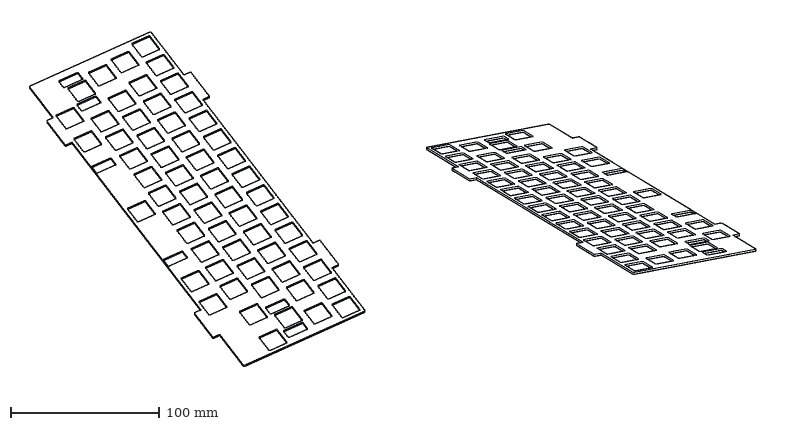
import cadquery as cq

plate_length = 285.8
column_count = 15
row_count = 5
pitch = plate_length / column_count
quarter = pitch / 4
body_depth = row_count * pitch
overall_depth = 105.7
thickness = 1.5
plate_corner_radius = 1.0
small_corner_radius = 0.5

tab_length = 25.1
tab_reach = (overall_depth - body_depth) / 2
back_tab_offset = 86.0
front_tab_offset = 98.3

switch_size = 14.0

slot_width = switch_size / 2
slot_depth = 15.1
slot_drop = 1.5
wide_key_slot_offset = 12.0
space_bar_slot_offset = 2.5 * pitch

one_unit = 4
stabilised_width = 8
space_bar_width = 24

key_rows = [
    (0, [one_unit] * 15),
    (0, [6] + [one_unit] * 12 + [6]),
    (0, [7] + [one_unit] * 11 + [9]),
    (0, [9] + [one_unit] * 10 + [7, one_unit]),
    (6, [one_unit, 6, space_bar_width, 6, one_unit]),
]


def place_keys():
    """Centre x, centre y and width of every key, measured from the plate centre."""
    keys = []
    for row, (blank, widths) in enumerate(key_rows):
        y = body_depth / 2 - (row + 0.5) * pitch
        left = blank * quarter - plate_length / 2
        for width in widths:
            keys.append((left + width * quarter / 2, y, width))
            left += width * quarter
    return keys


def place_slots(keys):
    """Centres of the stabiliser slots beside the wide keys."""
    centres = []
    for x, y, width in keys:
        if width >= stabilised_width:
            offset = space_bar_slot_offset if width == space_bar_width else wide_key_slot_offset
            centres += [(x - offset, y - slot_drop), (x + offset, y - slot_drop)]
    return centres


def rounded_blocks(centres, length, depth, radius):
    """Plate-thick blocks with rounded vertical edges, one at each centre."""
    blocks = cq.Workplane("XY").pushPoints(centres).rect(length, depth).extrude(thickness)
    return blocks.edges("|Z").fillet(radius)


def make_plate():
    """Rounded rectangular body with two tabs on each long edge."""
    plate = rounded_blocks([(0, 0)], plate_length, body_depth, plate_corner_radius)
    for edge_y, offset in ((body_depth / 2, back_tab_offset), (-body_depth / 2, front_tab_offset)):
        centres = [(-offset, edge_y), (offset, edge_y)]
        plate = plate.union(rounded_blocks(centres, tab_length, 2 * tab_reach, small_corner_radius))
    return plate


all_keys = place_keys()
switch_centres = [(x, y) for x, y, width in all_keys]
switch_cutouts = rounded_blocks(switch_centres, switch_size, switch_size, small_corner_radius)
slot_cutouts = rounded_blocks(place_slots(all_keys), slot_width, slot_depth, small_corner_radius)

result = make_plate().cut(switch_cutouts).cut(slot_cutouts)